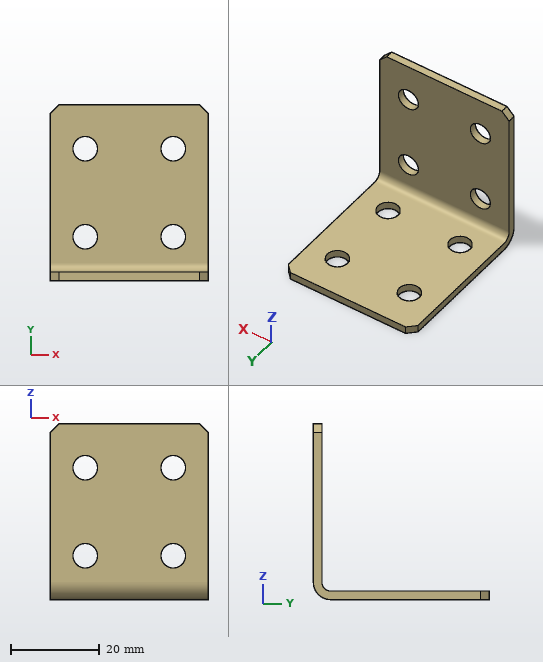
import cadquery as cq

width = 36.0
leg = 40.0
thickness = 2.0
inner_radius = 2.0
outer_radius = inner_radius + thickness
corner_chamfer = 2.0
hole_diameter = 5.5
hole_pitch = 20.0
hole_center_height = leg / 2


def bent_sheet():
    """L-shaped solid, centred on X, with its bend along X at Y = Z = 0."""
    blank = (
        cq.Workplane("YZ")
        .polyline([(0, 0), (leg, 0), (leg, thickness), (thickness, thickness), (thickness, leg), (0, leg)])
        .close()
        .extrude(width / 2, both=True)
    )
    inside_corner = cq.selectors.NearestToPointSelector((0, thickness, thickness))
    outside_corner = cq.selectors.NearestToPointSelector((0, 0, 0))
    blank = blank.edges(inside_corner).fillet(inner_radius)
    return blank.edges(outside_corner).fillet(outer_radius)


def hole_pattern(plane, direction):
    """Four cylinders passing through the flange that lies on the given plane."""
    return (
        cq.Workplane(plane)
        .center(0, hole_center_height)
        .rarray(hole_pitch, hole_pitch, 2, 2)
        .circle(hole_diameter / 2)
        .extrude(direction * thickness)
    )


bracket = bent_sheet()

bracket = bracket.faces(">Z").edges("|Y").chamfer(corner_chamfer)
bracket = bracket.faces(">Y").edges("|Z").chamfer(corner_chamfer)

bracket = bracket.cut(hole_pattern("XZ", -1))
result = bracket.cut(hole_pattern("XY", 1))